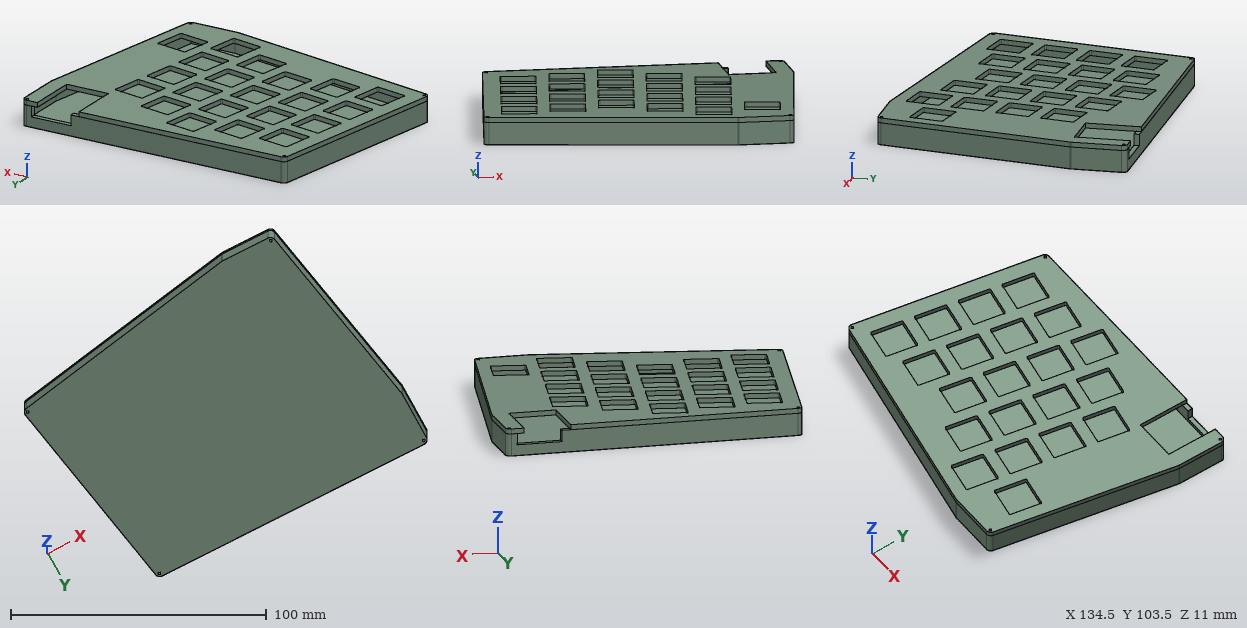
import cadquery as cq
import math

length = 134.5
depth = 103.5
height = 11.0
half_length = length / 2
half_depth = depth / 2

plate_thickness = 2.0
case_height = height - plate_thickness
wall = 2.2
floor_thickness = 3.0
corner_radius = 2.0

key_tilt = 10.0
front_tilt = 10.5
left_front_y = -33.6
right_front_x = 52.5
right_bend_y = 29.3

screw_diameter = 1.0
screw_inset = 1.5

thumb_column = 5
grid_width = 95.2
key_pitch = grid_width / thumb_column
key_size = 14.0
key_corner_radius = 0.5
key_rows = 4
first_key_across = -46.8
first_key_up = -31.1
column_shifts = [0.0, 4.7, 11.4, 4.7, -1.9]
thumb_shift = column_shifts[-1] + key_pitch / 2

bay_left = 41.3
bay_width = 19.0
bay_front = right_bend_y

port_left = 44.9
port_width = 18.0
port_bottom = 4.5


def outline_points():
    """Sharp corners of the outline, counter-clockwise from the left front corner."""
    left_angle = math.radians(90 - key_tilt)
    front_angle = math.radians(-front_tilt)
    bisector = (left_angle + front_angle) / 2
    reach = corner_radius / math.sin((left_angle - front_angle) / 2)
    left_front_x = -half_length + corner_radius - reach * math.cos(bisector)
    return [
        (left_front_x, left_front_y),
        (left_front_x + (half_depth + left_front_y) / math.tan(-front_angle), -half_depth),
        (right_front_x, -half_depth),
        (half_length, right_bend_y),
        (half_length, half_depth),
        (left_front_x + (half_depth - left_front_y) / math.tan(left_angle), half_depth),
    ]


def inset_point(before, corner, after, inset):
    """Point inside a convex corner, at the given distance from both of its edges."""
    to_before = math.atan2(before[1] - corner[1], before[0] - corner[0])
    to_after = math.atan2(after[1] - corner[1], after[0] - corner[0])
    half_angle = ((to_before - to_after) % (2 * math.pi)) / 2
    reach = inset / math.sin(half_angle)
    direction = to_after + half_angle
    return (corner[0] + reach * math.cos(direction), corner[1] + reach * math.sin(direction))


def screw_points():
    """Centres of the screw holes in the four main corners."""
    points = outline_points()
    main_corners = [0, 2, 4, 5]
    count = len(points)
    return [
        inset_point(points[i - 1], points[i], points[(i + 1) % count], screw_inset)
        for i in main_corners
    ]


def slab(bottom, thickness):
    """Full outline with rounded corners and the four screw holes through it."""
    body = cq.Workplane("XY").polyline(outline_points()).close().extrude(thickness)
    body = body.edges("|Z").fillet(corner_radius)
    holes = cq.Workplane("XY").pushPoints(screw_points()).circle(screw_diameter / 2).extrude(thickness)
    return body.cut(holes).translate((0, 0, bottom))


def key_points():
    """Key centres in the turned grid: full columns and one thumb key."""
    points = [
        (first_key_across + column * key_pitch, first_key_up + shift + row * key_pitch)
        for column, shift in enumerate(column_shifts)
        for row in range(key_rows)
    ]
    points.append((first_key_across + thumb_column * key_pitch, first_key_up + thumb_shift))
    return points


def key_cutters():
    """Prisms that cut all the key openings through the plate."""
    cutters = (
        cq.Workplane("XY")
        .pushPoints(key_points())
        .rect(key_size, key_size)
        .extrude(plate_thickness)
        .edges("|Z")
        .fillet(key_corner_radius)
    )
    return cutters.rotate((0, 0, 0), (0, 0, 1), -key_tilt).translate((0, 0, case_height))


def make_case():
    """Open tray with a port notch in its back wall."""
    cavity = (
        cq.Workplane("XY", origin=(0, 0, floor_thickness))
        .polyline(outline_points())
        .close()
        .offset2D(-wall)
        .extrude(case_height - floor_thickness)
    )
    port = cq.Workplane("XY").box(port_width, wall, case_height - port_bottom, centered=False)
    port = port.translate((port_left, half_depth - wall, port_bottom))
    return slab(0, case_height).cut(cavity).cut(port)


def make_plate():
    """Key plate with the key openings and the controller bay."""
    bay = cq.Workplane("XY").box(bay_width, half_depth - bay_front, plate_thickness, centered=False)
    bay = bay.translate((bay_left, bay_front, case_height))
    return slab(case_height, plate_thickness).cut(key_cutters()).cut(bay)


case = make_case()
plate = make_plate()

result = cq.Compound.makeCompound([case.solids().val(), plate.solids().val()])